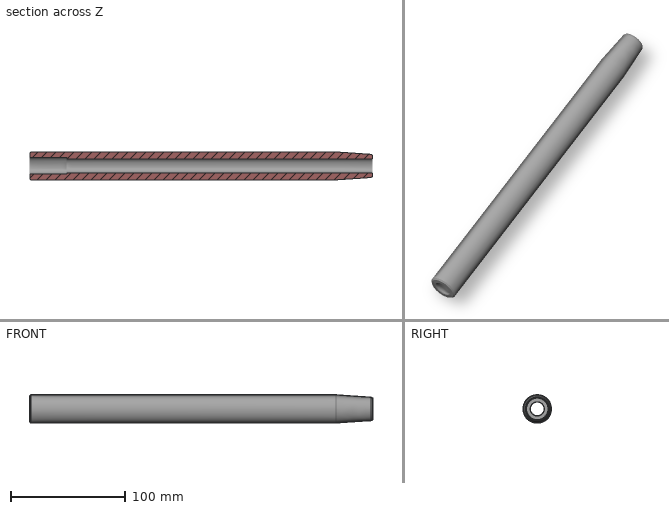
import cadquery as cq

length = 300.0
outer_diameter = 25.0
bore_diameter = 12.0

taper_length = 32.5
nose_diameter = 20.7

counterbore_diameter = 14.0
counterbore_depth = taper_length

plain_end_chamfer = 1.2
mouth_chamfer = 0.5
nose_chamfer_length = 1.5
nose_chamfer_depth = 1.0

outer_radius = outer_diameter / 2
bore_radius = bore_diameter / 2
counterbore_radius = counterbore_diameter / 2
nose_radius = nose_diameter / 2
taper_start = length - taper_length

half_section = [
    (mouth_chamfer, counterbore_radius),
    (0, counterbore_radius + mouth_chamfer),
    (0, outer_radius - plain_end_chamfer),
    (plain_end_chamfer, outer_radius),
    (taper_start, outer_radius),
    (length - nose_chamfer_length, nose_radius),
    (length, nose_radius - nose_chamfer_depth),
    (length, bore_radius),
    (counterbore_depth, bore_radius),
    (counterbore_depth, counterbore_radius),
]

result = cq.Workplane("XY").polyline(half_section).close().revolve(360, (0, 0, 0), (1, 0, 0))